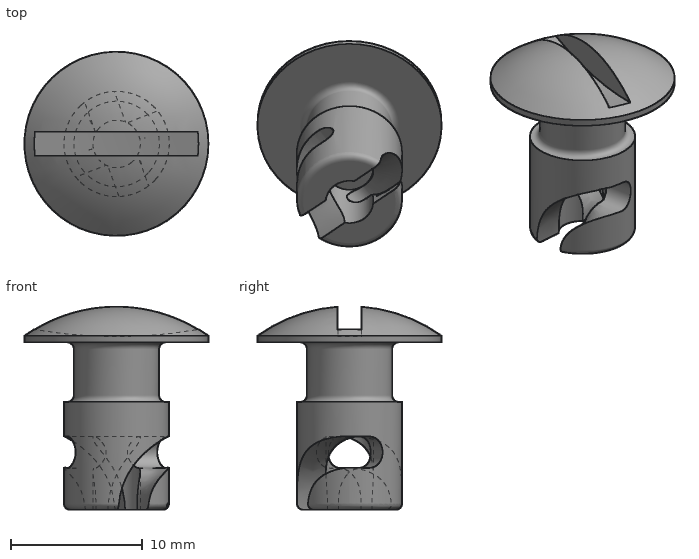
import cadquery as cq
import math


head_radius = 7.0
rim_height = 0.5
dome_radius = 12.0
apex_height = 15.474
shank_radius = 3.25
barrel_radius = 4.0
barrel_height = 8.2
edge_radius = 0.5

dome_height = dome_radius - math.sqrt(dome_radius**2 - head_radius**2)
rim_top = apex_height - dome_height
head_underside = rim_top - rim_height

driver_slot_width = 1.8
driver_slot_edge_depth = 1.75
driver_slot_sag = 0.55
driver_slot_half_length = math.sqrt(dome_radius**2 - (dome_radius - driver_slot_edge_depth) ** 2)

cam_count = 2
cam_width = 2.4
cam_start_angle = -70.0
cam_end_angle = 21.5
cam_end_height = 4.38
cam_inner_radius = 1.0
cam_outer_radius = 5.0
cam_entry_overrun = 1.0
cam_rise_pull = 2.4
cam_level_pull = 56.0
cam_path_steps = 12

bore_radius = 1.8
bore_depth = cam_end_height + cam_width / 2


def make_body():
    """Head, shank and barrel as one turned profile."""
    diagonal = edge_radius * math.sqrt(0.5)
    fillet_radius = shank_radius + edge_radius
    dome_mid_x = head_radius / 2
    dome_mid_z = apex_height - dome_radius + math.sqrt(dome_radius**2 - dome_mid_x**2)
    upper_fillet_z = head_underside - edge_radius
    lower_fillet_z = barrel_height + edge_radius
    profile = (
        cq.Workplane("XZ")
        .moveTo(0, 0)
        .lineTo(barrel_radius - edge_radius, 0)
        .threePointArc(
            (barrel_radius - edge_radius + diagonal, edge_radius - diagonal),
            (barrel_radius, edge_radius),
        )
        .lineTo(barrel_radius, barrel_height)
        .lineTo(fillet_radius, barrel_height)
        .threePointArc(
            (fillet_radius - diagonal, lower_fillet_z - diagonal),
            (shank_radius, lower_fillet_z),
        )
        .lineTo(shank_radius, upper_fillet_z)
        .threePointArc(
            (fillet_radius - diagonal, upper_fillet_z + diagonal),
            (fillet_radius, head_underside),
        )
        .lineTo(head_radius, head_underside)
        .lineTo(head_radius, rim_top)
        .threePointArc((dome_mid_x, dome_mid_z), (0, apex_height))
        .close()
    )
    return profile.revolve(360, (0, 0), (0, 1))


def make_driver_slot():
    """Slot through the whole width of the head, its floor sagging as an arc towards the middle."""
    edge_z = apex_height - driver_slot_edge_depth
    middle_z = edge_z - driver_slot_sag
    return (
        cq.Workplane("XZ")
        .moveTo(-driver_slot_half_length, edge_z)
        .threePointArc((0, middle_z), (driver_slot_half_length, edge_z))
        .lineTo(driver_slot_half_length, apex_height)
        .lineTo(-driver_slot_half_length, apex_height)
        .close()
        .extrude(driver_slot_width / 2, both=True)
    )


def make_bore():
    """Blind flat-bottomed hole in the lower end."""
    return cq.Workplane("XY").circle(bore_radius).extrude(bore_depth)


def polar_point(radius, angle, height):
    """Point at a radius and an angle in degrees around the Z axis."""
    turn = math.radians(angle)
    return cq.Vector(radius * math.cos(turn), radius * math.sin(turn), height)


def cubic_blend(controls, t):
    """Cubic Bezier value at t for four control values."""
    a, b, c, d = controls
    s = 1 - t
    return a * s**3 + 3 * b * s**2 * t + 3 * c * s * t**2 + d * t**3


def make_cam_path(radius):
    """Cam centre line at a given radius: straight up at the entry, then curving to level."""
    angles = (cam_start_angle, cam_start_angle, cam_end_angle - cam_level_pull, cam_end_angle)
    heights = (0, cam_rise_pull, cam_end_height, cam_end_height)
    points = []
    for step in range(cam_path_steps + 1):
        t = step / cam_path_steps
        points.append(polar_point(radius, cubic_blend(angles, t), cubic_blend(heights, t)))
    end_turn = math.radians(cam_end_angle)
    end_direction = cq.Vector(-math.sin(end_turn), math.cos(end_turn), 0)
    curve = cq.Edge.makeSpline(points, tangents=[cq.Vector(0, 0, 1), end_direction])
    entry = cq.Edge.makeLine(points[0] - cq.Vector(0, 0, cam_entry_overrun), points[0])
    return cq.Wire.assembleEdges([entry, curve])


def make_cam_cutters():
    """Cutting bodies of one cam slot: the groove along the path and its round end."""
    mid_radius = (cam_inner_radius + cam_outer_radius) / 2
    depth = cam_outer_radius - cam_inner_radius
    start_plane = cq.Plane(
        origin=polar_point(mid_radius, cam_start_angle, -cam_entry_overrun),
        xDir=polar_point(1, cam_start_angle, 0),
        normal=(0, 0, 1),
    )
    path = cq.Workplane(make_cam_path(mid_radius))
    guide = cq.Workplane(make_cam_path(cam_inner_radius))
    groove = cq.Workplane(start_plane).rect(depth, cam_width).sweep(path, auxSpine=guide)
    round_end = cq.Workplane(
        cq.Solid.makeCylinder(
            cam_width / 2,
            depth,
            polar_point(cam_inner_radius, cam_end_angle, cam_end_height),
            polar_point(1, cam_end_angle, 0),
        )
    )
    return groove, round_end


result = make_body().cut(make_driver_slot()).cut(make_bore())
for index in range(cam_count):
    for cutter in make_cam_cutters():
        result = result.cut(cutter.rotate((0, 0, 0), (0, 0, 1), index * 360 / cam_count))